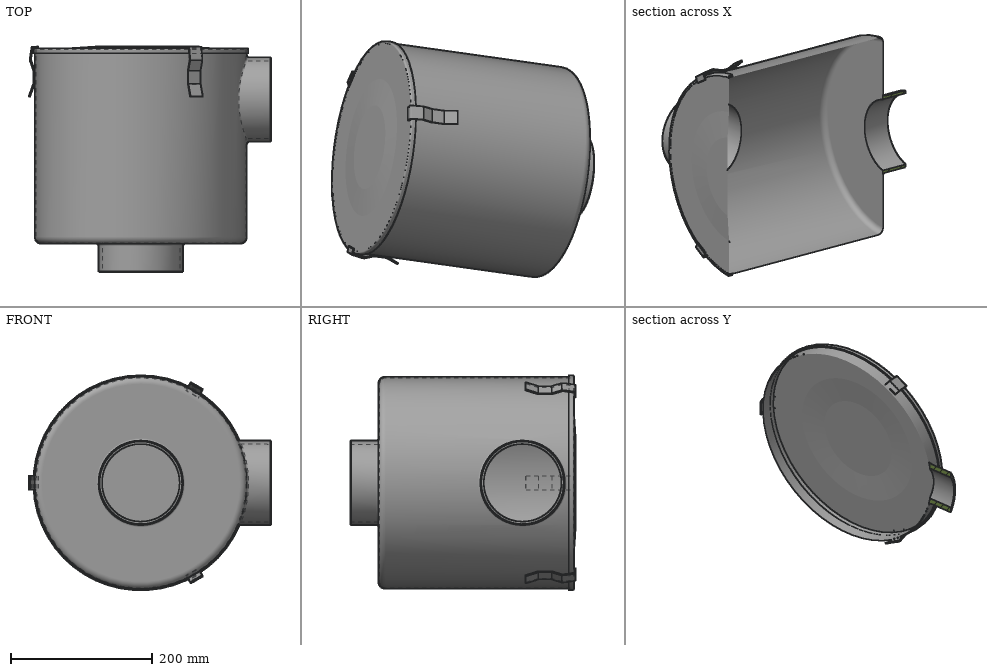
import cadquery as cq
import math


body_radius = 150.5
wall = 1.5
front_edge_round = 10.0

lid_radius = 152.5
lid_start = 270.0
lid_end = 277.5
lid_edge_round = 2.5

crown_top_radius = 60.0
crown_base_radius = 98.0
crown_end = 280.03

stub_radius = 60.0
stub_bore_radius = 55.0
stub_lip_chamfer = 1.5
stub_root_round = 3.0
outlet_length = 40.0
inlet_reach = 185.0
inlet_y = 204.5

clip_width = 20.0
clip_thickness = 2.0
clip_angles = (60, 180, 300)

hook_lip_radius = 145.3
hook_lip_rise = 0.6
hook_bend_radius = 147.3
hook_corner_round = 1.5
hook_corner_radius = lid_radius + 0.5
knee_radius = 155.5
knee_end_y = 262.3
knee_start_y = 260.5
seat_end_y = 246.0
seat_start_y = 226.5
tail_radius = 157.05
tail_y = 208.3


def make_turned_outside():
    """Body, lid and outlet stub turned about Y, drawn as radius against Y."""
    return (
        cq.Workplane("ZY")
        .moveTo(0, -outlet_length)
        .lineTo(stub_radius - stub_lip_chamfer, -outlet_length)
        .lineTo(stub_radius, -outlet_length + stub_lip_chamfer)
        .lineTo(stub_radius, -stub_root_round)
        .radiusArc((stub_radius + stub_root_round, 0), stub_root_round)
        .lineTo(body_radius - front_edge_round, 0)
        .radiusArc((body_radius, front_edge_round), -front_edge_round)
        .lineTo(body_radius, lid_start)
        .lineTo(lid_radius, lid_start)
        .lineTo(lid_radius, lid_end - lid_edge_round)
        .radiusArc((lid_radius - lid_edge_round, lid_end), -lid_edge_round)
        .lineTo(crown_base_radius, lid_end)
        .lineTo(crown_top_radius, crown_end)
        .lineTo(0, crown_end)
        .close()
        .revolve(360, (0, 0, 0), (0, 1, 0))
    )


def add_inlet(outside):
    """Side stub with a chamfered lip, blended into the body wall."""
    stub = (
        cq.Workplane("YZ")
        .center(inlet_y, 0)
        .circle(stub_radius)
        .extrude(inlet_reach)
        .faces(">X")
        .chamfer(stub_lip_chamfer)
    )
    root_zone = cq.selectors.BoxSelector(
        (body_radius - stub_radius / 2, inlet_y - stub_radius / 2, -stub_radius / 2),
        (body_radius, inlet_y + stub_radius / 2, stub_radius / 2),
    )
    return outside.union(stub).edges(root_zone).fillet(stub_root_round)


def make_cavity():
    """Inside of the body and lid, one wall thickness in from their faces."""
    inner_radius = body_radius - wall
    inner_round = front_edge_round - wall
    return (
        cq.Workplane("ZY")
        .moveTo(0, wall)
        .lineTo(inner_radius - inner_round, wall)
        .radiusArc((inner_radius, front_edge_round), -inner_round)
        .lineTo(inner_radius, lid_end - wall)
        .lineTo(crown_base_radius, lid_end - wall)
        .lineTo(crown_top_radius, crown_end - wall)
        .lineTo(0, crown_end - wall)
        .close()
        .revolve(360, (0, 0, 0), (0, 1, 0))
    )


def make_housing():
    """One hollow body with its lid, open only through the two stubs."""
    outlet_bore = cq.Workplane("XZ", origin=(0, body_radius, 0)).circle(stub_bore_radius)
    outlet_bore = outlet_bore.extrude(body_radius + outlet_length)
    inlet_bore = cq.Workplane("YZ", origin=(0, inlet_y, 0)).circle(stub_bore_radius)
    inlet_bore = inlet_bore.extrude(inlet_reach)
    outside = add_inlet(make_turned_outside())
    return outside.cut(make_cavity()).cut(outlet_bore).cut(inlet_bore)


def offset_path(points, distance):
    """Shift an open path sideways to its left, with mitred corners."""
    normals = []
    for (x0, y0), (x1, y1) in zip(points, points[1:]):
        length = math.hypot(x1 - x0, y1 - y0)
        normals.append((-(y1 - y0) / length, (x1 - x0) / length))
    shifted = []
    for (x, y), before, after in zip(points, normals[:1] + normals, normals + normals[-1:]):
        mitre = distance / (1 + before[0] * after[0] + before[1] * after[1])
        shifted.append((x + mitre * (before[0] + after[0]), y + mitre * (before[1] + after[1])))
    return shifted


def make_clip(angle):
    """Bent strip hooked over the lid edge, turned about Y to its place."""
    inner_face = [
        (tail_radius, tail_y),
        (body_radius, seat_start_y),
        (body_radius, seat_end_y),
        (knee_radius, knee_start_y),
        (knee_radius, knee_end_y),
        (hook_corner_radius, lid_end),
        (hook_bend_radius, lid_end),
        (hook_lip_radius, lid_end + hook_lip_rise),
    ]
    outer_face = offset_path(inner_face, -clip_thickness)
    clip = (
        cq.Workplane("XY")
        .polyline(inner_face + outer_face[::-1])
        .close()
        .extrude(clip_width / 2, both=True)
    )
    corner_x, corner_y = outer_face[inner_face.index((hook_corner_radius, lid_end))]
    corner_edge = cq.selectors.NearestToPointSelector((corner_x, corner_y, 0))
    clip = clip.edges("|Z").edges(corner_edge).fillet(hook_corner_round)
    return clip.rotate((0, 0, 0), (0, 1, 0), angle)


housing = make_housing()
clips = [make_clip(angle) for angle in clip_angles]

result = cq.Compound.makeCompound([housing.val(), *[clip.val() for clip in clips]])